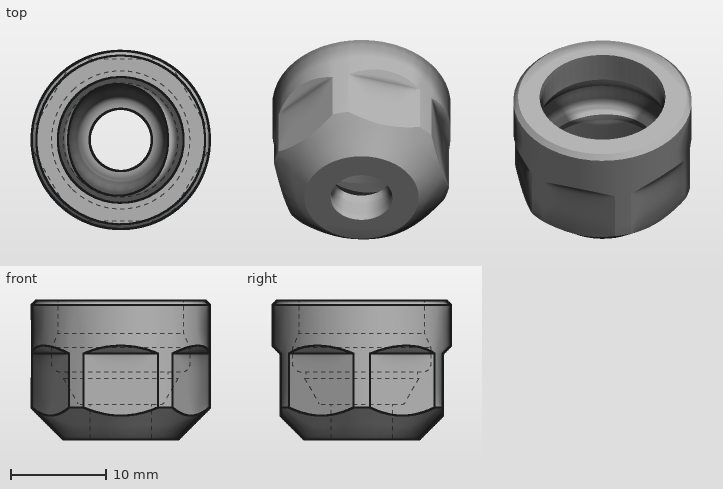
import cadquery as cq
import math

body_diameter = 18.7
body_height = 14.6
top_chamfer = 0.5
bottom_face_diameter = 12.0

flat_count = 6
across_flats = 17.0
flat_top_z = 9.0
cutter_margin = 1.0

bore_diameter = 13.19
bore_bottom_z = 11.1
undercut_diameter = 14.5
undercut_taper_end_z = 9.65
undercut_floor_z = 7.1
undercut_fillet = 0.8

lip_thickness = 0.7
oval_offset_x = -0.28
oval_half_width = 5.25
oval_half_length = 5.85
oval_end_radius = 5.1

seat_half_angle = math.radians(30)
seat_top_radius = 6.0
seat_bottom_diameter = 9.1
seat_fillet = 0.45
hole_diameter = 6.5

body_radius = body_diameter / 2
lip_bottom_z = undercut_floor_z - lip_thickness


def make_body():
    """Turned blank: cylinder with a chamfered top and a 45 degree cone at the bottom."""
    bottom_cone = body_radius - bottom_face_diameter / 2
    return (
        cq.Workplane("XY")
        .circle(body_radius)
        .extrude(body_height)
        .faces(">Z")
        .chamfer(top_chamfer)
        .faces("<Z")
        .chamfer(bottom_cone)
    )


def make_flat_cutter():
    """Material outside the flat on +Y; its top runs out at 45 degrees."""
    flat_distance = across_flats / 2
    reach = body_radius - flat_distance + cutter_margin
    return (
        cq.Workplane("YZ")
        .moveTo(flat_distance, 0)
        .lineTo(flat_distance, flat_top_z)
        .lineTo(flat_distance + reach, flat_top_z + reach)
        .lineTo(flat_distance + reach, 0)
        .close()
        .extrude(body_radius, both=True)
    )


def cut_flats(part):
    cutter = make_flat_cutter()
    for index in range(flat_count):
        angle = index * 360 / flat_count
        part = part.cut(cutter.rotate((0, 0, 0), (0, 0, 1), angle))
    return part


def make_upper_bore():
    """Bore from the top that tapers out into a wider undercut with a rounded floor."""
    bore_radius = bore_diameter / 2
    undercut_radius = undercut_diameter / 2
    fillet_center_r = undercut_radius - undercut_fillet
    fillet_center_z = undercut_floor_z + undercut_fillet
    fillet_diagonal = undercut_fillet * math.sqrt(0.5)
    return (
        cq.Workplane("XZ")
        .moveTo(0, body_height)
        .lineTo(bore_radius, body_height)
        .lineTo(bore_radius, bore_bottom_z)
        .lineTo(undercut_radius, undercut_taper_end_z)
        .lineTo(undercut_radius, fillet_center_z)
        .threePointArc(
            (fillet_center_r + fillet_diagonal, fillet_center_z - fillet_diagonal),
            (fillet_center_r, undercut_floor_z),
        )
        .lineTo(0, undercut_floor_z)
        .close()
        .revolve(360, (0, 0, 0), (0, 1, 0))
    )


def make_oval_opening():
    """Oval of four tangent arcs through the lip, longer along Y."""
    end_center_y = oval_half_length - oval_end_radius
    side_radius = (oval_half_width**2 + end_center_y**2 - oval_end_radius**2) / (
        2 * (oval_half_width - oval_end_radius)
    )
    side_center_x = side_radius - oval_half_width
    joint_angle = math.atan2(end_center_y, side_center_x)
    joint_x = side_radius * math.cos(joint_angle) - side_center_x
    joint_y = side_radius * math.sin(joint_angle)
    return (
        cq.Workplane("XY", origin=(oval_offset_x, 0, lip_bottom_z))
        .moveTo(joint_x, -joint_y)
        .threePointArc((oval_half_width, 0), (joint_x, joint_y))
        .threePointArc((0, oval_half_length), (-joint_x, joint_y))
        .threePointArc((-oval_half_width, 0), (-joint_x, -joint_y))
        .threePointArc((0, -oval_half_length), (joint_x, -joint_y))
        .close()
        .extrude(lip_thickness)
    )


def make_seat():
    """Cone narrowing downward from the lip, rounded into a flat floor."""
    cone_end_r = seat_bottom_diameter / 2
    cone_end_z = lip_bottom_z - (seat_top_radius - cone_end_r) / math.tan(seat_half_angle)
    fillet_center_r = cone_end_r - seat_fillet * math.cos(seat_half_angle)
    fillet_center_z = cone_end_z + seat_fillet * math.sin(seat_half_angle)
    floor_z = fillet_center_z - seat_fillet
    middle_angle = (seat_half_angle + math.pi / 2) / 2
    return (
        cq.Workplane("XZ")
        .moveTo(0, lip_bottom_z)
        .lineTo(seat_top_radius, lip_bottom_z)
        .lineTo(cone_end_r, cone_end_z)
        .threePointArc(
            (
                fillet_center_r + seat_fillet * math.cos(middle_angle),
                fillet_center_z - seat_fillet * math.sin(middle_angle),
            ),
            (fillet_center_r, floor_z),
        )
        .lineTo(0, floor_z)
        .close()
        .revolve(360, (0, 0, 0), (0, 1, 0))
    )


def make_through_hole():
    return cq.Workplane("XY").circle(hole_diameter / 2).extrude(body_height)


result = (
    cut_flats(make_body())
    .cut(make_upper_bore())
    .cut(make_oval_opening())
    .cut(make_seat())
    .cut(make_through_hole())
)